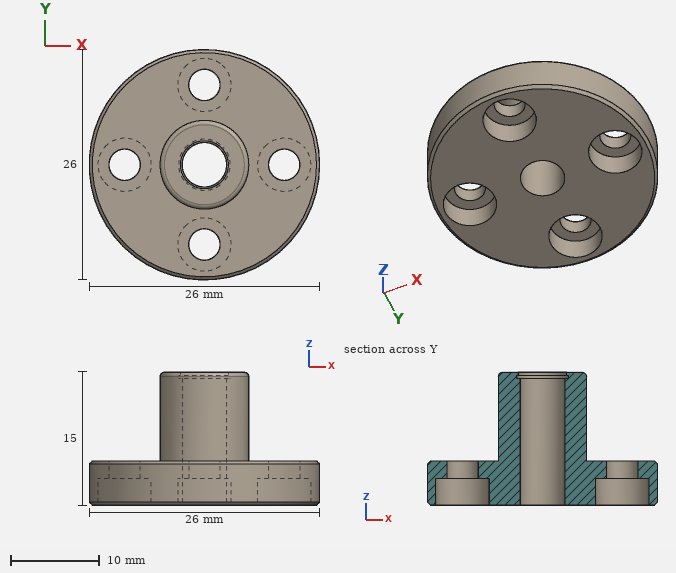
import cadquery as cq

flange_diameter = 26.0
flange_thickness = 5.02
flange_chamfer = 0.36

hub_diameter = 10.0
total_height = 15.0
hub_fillet = 0.5

bore_diameter = 5.0
lip_diameter = 5.4
lip_depth = 0.4
groove_diameter = 5.8
groove_width = 0.3

mount_hole_diameter = 3.5
mount_hole_neck = 2.0
mount_counterbore_diameter = 6.0
mount_circle_diameter = 18.0
mount_hole_count = 4


def cylinder(diameter, bottom, top):
    """Cylinder on the Z axis between two heights."""
    return cq.Workplane("XY").workplane(offset=bottom).circle(diameter / 2).extrude(top - bottom)


def make_flange():
    disc = cylinder(flange_diameter, 0, flange_thickness)
    return disc.faces("<Z or >Z").edges().chamfer(flange_chamfer)


def make_hub():
    return cylinder(hub_diameter, 0, total_height).faces(">Z").edges().fillet(hub_fillet)


def make_bore():
    groove_top = total_height - lip_depth
    bore = cylinder(bore_diameter, 0, total_height)
    lip = cylinder(lip_diameter, groove_top, total_height)
    groove = cylinder(groove_diameter, groove_top - groove_width, groove_top)
    return bore.union(lip).union(groove)


def make_mount_holes():
    hole = cylinder(mount_hole_diameter, 0, flange_thickness)
    counterbore = cylinder(mount_counterbore_diameter, 0, flange_thickness - mount_hole_neck)
    cutter = hole.union(counterbore).val()
    return (
        cq.Workplane("XY")
        .polarArray(mount_circle_diameter / 2, 0, 360, mount_hole_count)
        .eachpoint(cutter, combine=True)
    )


result = make_flange().union(make_hub()).cut(make_bore()).cut(make_mount_holes())